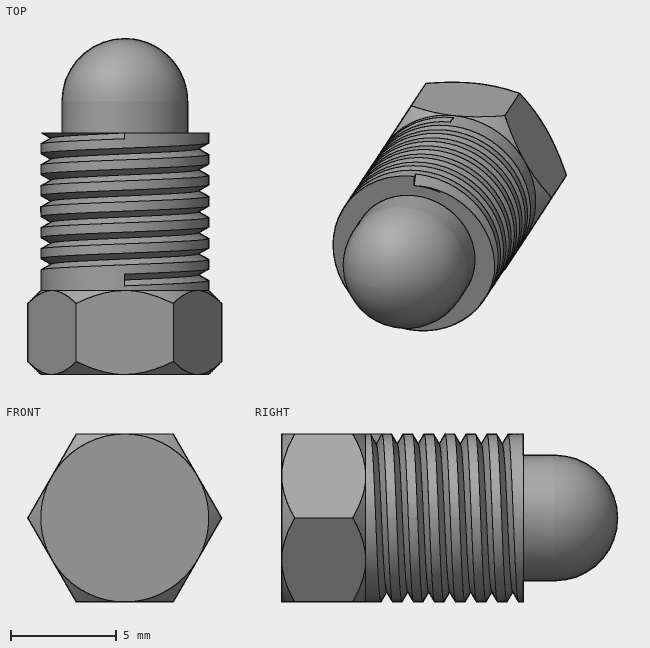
import cadquery as cq
import math

total_length = 16.0
across_flats = 8.0
head_height = 4.0
thread_diameter = across_flats
pin_diameter = 6.0
thread_pitch = 1.0
thread_turns = 7
groove_depth = 0.48
groove_half_angle = 30.0
cutter_overlap = 0.08

thread_radius = thread_diameter / 2
pin_radius = pin_diameter / 2
corner_radius = across_flats / 2 / math.cos(math.radians(30))
thread_start = head_height + thread_pitch / 2
thread_length = thread_turns * thread_pitch
shank_end = thread_start + thread_length


def make_head():
    """Hexagon whose corners are bevelled at 45 degrees at both ends."""
    hexagon = cq.Workplane("XY").polygon(6, 2 * corner_radius).extrude(head_height)
    face_radius = across_flats / 2
    bevel = corner_radius - face_radius
    envelope = (
        cq.Workplane("XY")
        .circle(corner_radius)
        .extrude(head_height)
        .faces("<Z or >Z")
        .chamfer(bevel)
    )
    return hexagon.intersect(envelope)


def make_shank():
    return (
        cq.Workplane("XY")
        .workplane(offset=head_height)
        .circle(thread_radius)
        .extrude(shank_end - head_height)
    )


def make_groove():
    """Right-hand V groove starting on the -Y side of the upright part."""
    root_radius = thread_radius - groove_depth
    outer_radius = thread_radius + cutter_overlap
    half_width = (outer_radius - root_radius) * math.tan(math.radians(groove_half_angle))
    helix = cq.Workplane(cq.Wire.makeHelix(thread_pitch, thread_length, root_radius))
    groove = (
        cq.Workplane("XZ")
        .moveTo(root_radius, 0)
        .lineTo(outer_radius, half_width)
        .lineTo(outer_radius, -half_width)
        .close()
        .sweep(helix, isFrenet=True)
    )
    return groove.rotate((0, 0, 0), (0, 0, 1), -90).translate((0, 0, thread_start))


def make_pin():
    """Straight pin ending in a hemisphere, rooted inside the shank."""
    dome_start = total_length - pin_radius
    return (
        cq.Workplane("XZ")
        .moveTo(0, head_height)
        .lineTo(pin_radius, head_height)
        .lineTo(pin_radius, dome_start)
        .radiusArc((0, total_length), -pin_radius)
        .close()
        .revolve(360, (0, 0, 0), (0, 1, 0))
    )


threaded_shank = make_shank().cut(make_groove())
upright_part = make_head().union(threaded_shank).union(make_pin())

result = upright_part.rotate((0, 0, 0), (1, 0, 0), -90)